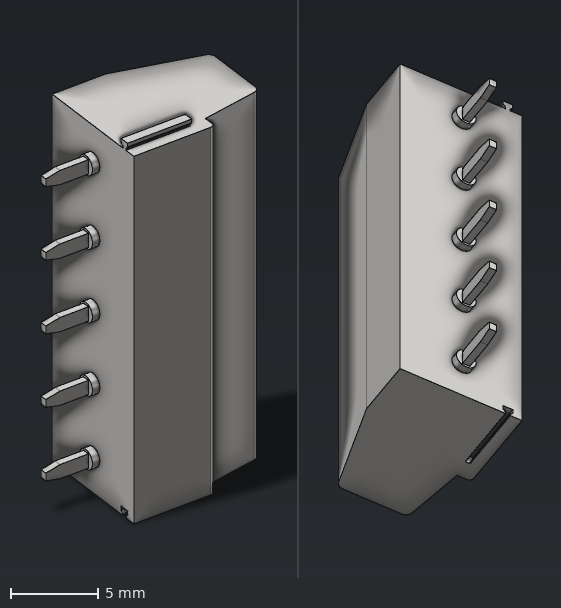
import cadquery as cq

body_width = 8.15
body_depth = 10.0
overall_height = 25.57
rib_height = 0.55
body_height = overall_height - rib_height
left_wall_depth = 3.75
crest_left = 1.75
crest_right = 6.47
crest_radius = 0.5
step_x = 7.2
step_depth = 5.7
step_radius = 0.3

dovetail_x = 7.2
dovetail_width = 0.65
dovetail_neck = 0.3
dovetail_neck_height = 0.1
dovetail_taper_top = 0.3
dovetail_length = 4.5

pin_count = 5
pin_pitch = body_height / pin_count
pin_x = 4.12
pin_reach = 3.5
pin_thickness = 0.49
pin_width = 0.97
pin_tip_width = 0.54
pin_taper_length = 1.0
collar_diameter = 1.3
collar_length = 0.5


def make_housing():
    """Extrude the housing section upward and round its outer corners."""
    housing = (
        cq.Workplane("XY")
        .moveTo(0, 0)
        .lineTo(body_width, 0)
        .lineTo(body_width, step_depth)
        .lineTo(step_x, step_depth)
        .lineTo(crest_right, body_depth)
        .lineTo(crest_left, body_depth)
        .lineTo(0, left_wall_depth)
        .close()
        .extrude(body_height)
    )
    housing = housing.faces(">Y").edges("|Z").fillet(crest_radius)
    step_corner = cq.selectors.NearestToPointSelector((body_width, step_depth, body_height / 2))
    return housing.edges("|Z").edges(step_corner).fillet(step_radius)


def make_dovetail(base_z):
    """Bar along Y from the mounting face, with its neck at base_z and its wide head above."""
    half_width = dovetail_width / 2
    half_neck = dovetail_neck / 2
    return (
        cq.Workplane("XZ", origin=(dovetail_x, 0, base_z))
        .moveTo(-half_neck, 0)
        .lineTo(half_neck, 0)
        .lineTo(half_neck, dovetail_neck_height)
        .lineTo(half_width, dovetail_taper_top)
        .lineTo(half_width, rib_height)
        .lineTo(-half_width, rib_height)
        .lineTo(-half_width, dovetail_taper_top)
        .lineTo(-half_neck, dovetail_neck_height)
        .close()
        .extrude(-dovetail_length)
    )


def make_pin(center_z):
    """Flat pin with a tapered tip, rising out of a round collar."""
    collar = (
        cq.Workplane("XZ", origin=(pin_x, 0, center_z))
        .circle(collar_diameter / 2)
        .extrude(collar_length)
    )
    half_width = pin_width / 2
    half_tip = pin_tip_width / 2
    taper_start = -(pin_reach - pin_taper_length)
    blade = (
        cq.Workplane("YZ", origin=(pin_x, 0, center_z))
        .moveTo(0, -half_width)
        .lineTo(taper_start, -half_width)
        .lineTo(-pin_reach, -half_tip)
        .lineTo(-pin_reach, half_tip)
        .lineTo(taper_start, half_width)
        .lineTo(0, half_width)
        .close()
        .extrude(pin_thickness / 2, both=True)
    )
    return collar.union(blade)


result = make_housing()
result = result.cut(make_dovetail(0))
result = result.union(make_dovetail(body_height))
for index in range(pin_count):
    result = result.union(make_pin((index + 0.5) * pin_pitch))